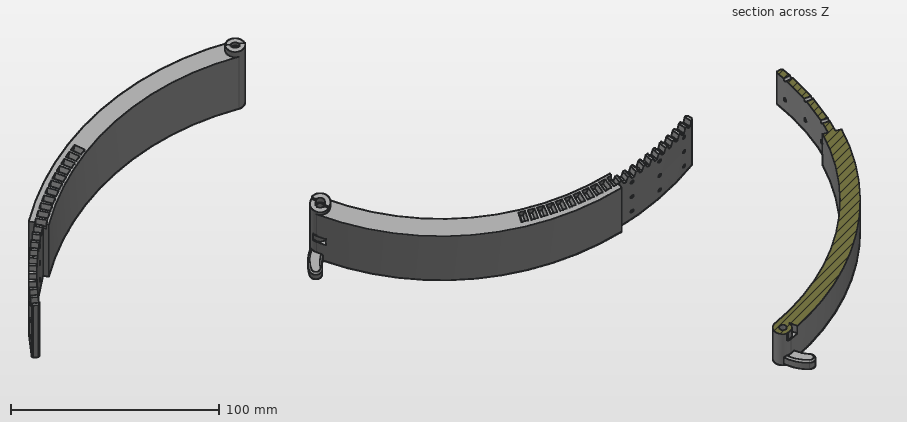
import cadquery as cq
import math

OUTER_RADIUS = 149.9
BAND_THICKNESS = 10.0
INNER_RADIUS = OUTER_RADIUS - BAND_THICKNESS
MID_RADIUS = OUTER_RADIUS - BAND_THICKNESS / 2
HEIGHT = 40.0
HINGE_ANGLE = -9.0
BAND_END_ANGLE = 50.0
BOTTOM_CHAMFER = 0.5

TONGUE_OUTER_RADIUS = 146.7
TONGUE_THICKNESS = 4.0
TONGUE_INNER_RADIUS = TONGUE_OUTER_RADIUS - TONGUE_THICKNESS
TONGUE_END_ANGLE = 70.2
TONGUE_END_CHAMFER = 0.8
TONGUE_OVERLAP_ANGLE = 1.0

HOLE_DIAMETER = 2.0
HOLES_PER_COLUMN = 3
HOLE_SPACING = 12.9
HOLE_ANGLES = (53.3, 60.3, 67.3)

GAP_COUNT = 21
GAP_FIRST_ANGLE = 30.5
GAP_PITCH_ANGLE = 1.92
GAP_DEPTH = 3.5
GAP_TOP_WIDTH = 3.5
GAP_ROOT_WIDTH = 1.3
GAP_OUTER_RADIUS = 146.9
GAP_INNER_RADIUS = 141.3

BARREL_DIAMETER = 10.0
BARREL_LOW_TOP = 42.4
BARREL_HIGH_TOP = 44.0
STEP_LINE_ANGLE = 70.0
BORE_DIAMETER = 3.5
COUNTERBORE_DIAMETER = 4.6
COUNTERBORE_FLOOR = HEIGHT

RELIEF_FLOOR_DIAMETER = 9.0
RELIEF_BOTTOM = 15.4
RELIEF_HEIGHT = 5.3
RELIEF_Y_MIN = -4.3
RELIEF_Y_MAX = 2.5

HOOK_HEIGHT = 6.1
HOOK_CHAMFER = 1.0
HOOK_BACK_START = (-2.5, 4.0)
HOOK_BACK_MIDDLE = (-9.0, 3.8)
HOOK_BACK_END = (-15.4, 1.3)
HOOK_FRONT_END = (-12.4, -4.3)
HOOK_FRONT_START = (-2.5, -3.1)


def polar(radius, angle):
    """Point at an angle measured from -X towards -Y."""
    turn = math.radians(angle)
    return (-radius * math.cos(turn), -radius * math.sin(turn))


HINGE = polar(MID_RADIUS, HINGE_ANGLE)


def curved_strip(inner, outer, start, end):
    """Upright strip of full height between two radii and two angles."""
    middle = (start + end) / 2
    return (
        cq.Workplane("XY")
        .moveTo(*polar(outer, start))
        .threePointArc(polar(outer, middle), polar(outer, end))
        .lineTo(*polar(inner, end))
        .threePointArc(polar(inner, middle), polar(inner, start))
        .close()
        .extrude(HEIGHT)
    )


def barrel_cylinder(diameter, bottom, top):
    return (
        cq.Workplane("XY", origin=(*HINGE, bottom))
        .circle(diameter / 2)
        .extrude(top - bottom)
    )


def make_band():
    band = curved_strip(INNER_RADIUS, OUTER_RADIUS, HINGE_ANGLE, BAND_END_ANGLE)
    outer_arc = cq.selectors.RadiusNthSelector(-1)
    return band.faces("<Z").edges(outer_arc).chamfer(BOTTOM_CHAMFER)


def make_tongue():
    """Strip that starts inside the band and has both upright edges of its free end bevelled."""
    start_angle = BAND_END_ANGLE - TONGUE_OVERLAP_ANGLE
    tongue = curved_strip(TONGUE_INNER_RADIUS, TONGUE_OUTER_RADIUS, start_angle, TONGUE_END_ANGLE)
    for free_end_edge in ("|Z and >X", "|Z and <Y"):
        tongue = tongue.edges(free_end_edge).chamfer(TONGUE_END_CHAMFER)
    return tongue


def make_relief():
    """Block on the outer side of the barrel with a round floor about the barrel axis."""
    block = (
        cq.Workplane("XY", origin=(*HINGE, RELIEF_BOTTOM))
        .moveTo(-BAND_THICKNESS, RELIEF_Y_MIN)
        .lineTo(0, RELIEF_Y_MIN)
        .lineTo(0, RELIEF_Y_MAX)
        .lineTo(-BAND_THICKNESS, RELIEF_Y_MAX)
        .close()
        .extrude(RELIEF_HEIGHT)
    )
    return block.cut(barrel_cylinder(RELIEF_FLOOR_DIAMETER, 0, HEIGHT))


def make_barrel():
    """Barrel whose inner half stands one step higher than its outer half."""
    low = barrel_cylinder(BARREL_DIAMETER, 0, BARREL_LOW_TOP)
    high_half = (
        cq.Workplane("XY")
        .box(BARREL_DIAMETER, 2 * BARREL_DIAMETER, BARREL_HIGH_TOP, centered=(False, True, False))
        .rotate((0, 0, 0), (0, 0, 1), STEP_LINE_ANGLE - 90)
        .translate((*HINGE, 0))
    )
    return low.union(barrel_cylinder(BARREL_DIAMETER, 0, BARREL_HIGH_TOP).intersect(high_half))


def make_hook():
    return (
        cq.Workplane("XY", origin=(*HINGE, 0))
        .moveTo(*HOOK_BACK_START)
        .threePointArc(HOOK_BACK_MIDDLE, HOOK_BACK_END)
        .tangentArcPoint(HOOK_FRONT_END, relative=False)
        .tangentArcPoint(HOOK_FRONT_START, relative=False)
        .close()
        .extrude(HOOK_HEIGHT)
        .faces("<Z or >Z")
        .chamfer(HOOK_CHAMFER)
    )


def make_tooth_gap(angle):
    """Tapered slot across the strip, narrowing downwards from the top edge."""
    return (
        cq.Workplane("YZ", origin=(-GAP_OUTER_RADIUS, 0, HEIGHT))
        .moveTo(-GAP_TOP_WIDTH / 2, 0)
        .lineTo(GAP_TOP_WIDTH / 2, 0)
        .lineTo(GAP_ROOT_WIDTH / 2, -GAP_DEPTH)
        .lineTo(-GAP_ROOT_WIDTH / 2, -GAP_DEPTH)
        .close()
        .extrude(GAP_OUTER_RADIUS - GAP_INNER_RADIUS)
        .rotate((0, 0, 0), (0, 0, 1), angle)
    )


def make_hole_column(angle):
    """Radial holes, one above the other."""
    return (
        cq.Workplane("YZ", origin=(-OUTER_RADIUS, 0, HEIGHT / 2))
        .rarray(HOLE_SPACING, HOLE_SPACING, 1, HOLES_PER_COLUMN)
        .circle(HOLE_DIAMETER / 2)
        .extrude(BAND_THICKNESS)
        .rotate((0, 0, 0), (0, 0, 1), angle)
    )


def cut_bore(body):
    """Through bore of the barrel, widened at the top."""
    bore = barrel_cylinder(BORE_DIAMETER, 0, BARREL_HIGH_TOP)
    counterbore = barrel_cylinder(COUNTERBORE_DIAMETER, COUNTERBORE_FLOOR, BARREL_HIGH_TOP)
    return body.cut(bore).cut(counterbore)


result = make_band().union(make_tongue())

for gap in range(GAP_COUNT):
    result = result.cut(make_tooth_gap(GAP_FIRST_ANGLE + gap * GAP_PITCH_ANGLE))

for hole_angle in HOLE_ANGLES:
    result = result.cut(make_hole_column(hole_angle))

result = result.union(make_barrel()).cut(make_relief()).union(make_hook())
result = cut_bore(result)